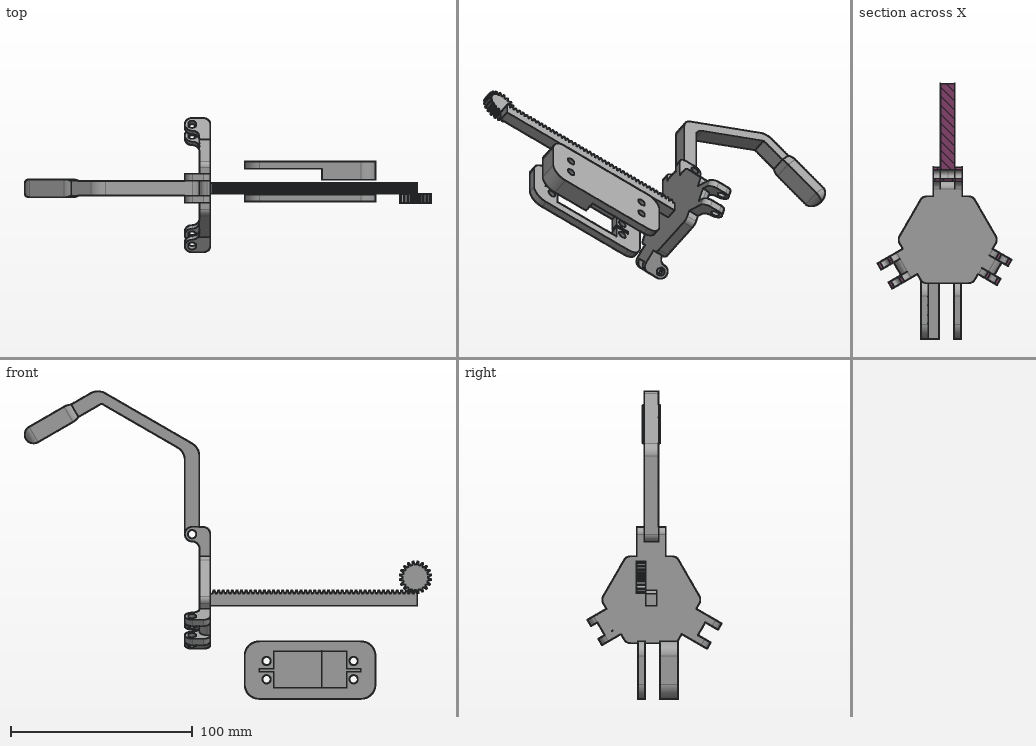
import cadquery as cq
import math


hub_apothem = 24.0
hub_thickness = 6.0
round_radius = 4.0
hub_front = -hub_thickness

finger_width = 8.0
lug_span = 2 * finger_width
boss_x = hub_front - round_radius
pin_diameter = 4.5
long_hinge_radius = hub_apothem + 3 * round_radius
short_hinge_radius = long_hinge_radius - round_radius
web_end = hub_apothem + 2 * round_radius
arms = [(0, long_hinge_radius), (-120, long_hinge_radius), (120, short_hinge_radius)]

bend_z = 83.7
middle_length = 64.5
middle_depth = 6.0
limb_slope = math.radians(30)
bend_radius = 8.0
limb_angle = math.radians(120)
neck_length = 17.0

pad_half_width = 5.0
pad_shoulder = 4.0
pad_dome_start = 26.2

tooth_count = 20
rack_tooth_count = 45
rack_tooth_span = 110.7
first_tooth_x = 2.0
rack_width = 6.0
rack_bottom = -3.4
gear_z = 12.3
gear_width = 5.1
gear_half_root = 0.9
gear_half_tip = 0.4
tooth_pitch = rack_tooth_span / (rack_tooth_count - 1)
gear_module = tooth_pitch / math.pi
pressure_angle = math.radians(20)
addendum = gear_module
dedendum = 1.25 * gear_module
pitch_radius = tooth_count * gear_module / 2
last_tooth_x = first_tooth_x + rack_tooth_span

plate_length = 72.0
plate_height = 31.8
plate_thickness = 4.0
plate_corner = 8.0
plate_x = 54.8
plate_z = -38.7
front_plate_y = -3.4
rear_plate_y = 10.7
screw_spacing_x = 47.9
screw_spacing_z = 10.0
screw_diameter = 4.5
window_length = 40.0
window_height = 20.1
window_z = -38.3
slot_length = 56.0
slot_height = 1.8
block_length = 29.5
block_depth = 6.0


def slab(profile, width):
    """Extrude a profile equally to both sides of its plane."""
    return profile.extrude(width / 2, both=True)



def hub_plate():
    hexagon_diameter = 2 * hub_apothem / math.cos(math.pi / 6)
    plate = cq.Workplane("YZ").polygon(6, hexagon_diameter).extrude(-hub_thickness)
    return plate.edges("|X").fillet(round_radius)


def hinge_arm(hinge_radius):
    """Two drilled lugs and the web between them, pointing along +Z."""
    r = round_radius
    diagonal = r * math.sqrt(0.5)
    tip = hinge_radius + r
    fillet_end = hinge_radius - 2 * r
    foot = hub_apothem - r
    lug_profile = (
        cq.Workplane("XZ")
        .moveTo(0, foot)
        .lineTo(0, tip - r)
        .threePointArc((diagonal - r, tip - r + diagonal), (-r, tip))
        .lineTo(boss_x, tip)
        .threePointArc((boss_x - r, hinge_radius), (boss_x, hinge_radius - r))
        .threePointArc((boss_x + diagonal, fillet_end + diagonal), (hub_front, fillet_end))
        .lineTo(hub_front, foot)
        .close()
    )
    gap = cq.Workplane("XY").box(-4 * boss_x, finger_width, 4 * tip)
    pin_hole = slab(cq.Workplane("XZ").center(boss_x, hinge_radius).circle(pin_diameter / 2), 2 * lug_span)
    lugs = slab(lug_profile, lug_span).cut(gap).cut(pin_hole)

    web_profile = (
        cq.Workplane("XZ")
        .moveTo(0, foot)
        .lineTo(0, web_end)
        .lineTo(hub_front + r, web_end)
        .threePointArc((hub_front + r - diagonal, web_end - r + diagonal), (hub_front, web_end - r))
        .lineTo(hub_front, foot)
        .close()
    )
    web = slab(web_profile, finger_width)
    return lugs.union(web)


def rack():
    pitch_line = gear_z - pitch_radius
    root_z = pitch_line - dedendum
    tip_z = pitch_line + addendum
    half_root = tooth_pitch / 4 + dedendum * math.tan(pressure_angle)
    half_tip = tooth_pitch / 4 - addendum * math.tan(pressure_angle)
    profile = cq.Workplane("XZ").moveTo(0, rack_bottom).lineTo(0, root_z)
    for number in range(rack_tooth_count):
        x = first_tooth_x + number * tooth_pitch
        profile = (
            profile.lineTo(x - half_root, root_z)
            .lineTo(x - half_tip, tip_z)
            .lineTo(x + half_tip, tip_z)
            .lineTo(x + half_root, root_z)
        )
    profile = profile.lineTo(last_tooth_x + half_root, rack_bottom).close()
    return slab(profile, rack_width)


def build_hub():
    body = hub_plate()
    for angle, hinge_radius in arms:
        body = body.union(hinge_arm(hinge_radius).rotate((0, 0, 0), (1, 0, 0), angle))
    return body.union(rack())



def inner_corner(corner, first_direction, first_depth, second_direction, second_depth):
    """Inner corner where two limbs of the given depths meet."""
    along_first = second_depth / math.sin(limb_angle)
    along_second = first_depth / math.sin(limb_angle)
    return tuple(
        c + along_first * a + along_second * b
        for c, a, b in zip(corner, first_direction, second_direction)
    )


def pad_prism(origin, axis, normal):
    """Pad outline with a round tip and a curved shoulder, extruded along the normal."""
    shoulder_drop = pad_half_width - finger_width / 2
    shoulder_radius = (pad_shoulder**2 + shoulder_drop**2) / (2 * shoulder_drop)
    middle_drop = shoulder_radius - math.sqrt(shoulder_radius**2 - (pad_shoulder / 2) ** 2)
    middle = pad_half_width - middle_drop
    profile = (
        cq.Workplane(cq.Plane(origin=origin, xDir=axis, normal=normal))
        .moveTo(0, finger_width / 2)
        .threePointArc((pad_shoulder / 2, middle), (pad_shoulder, pad_half_width))
        .lineTo(pad_dome_start, pad_half_width)
        .threePointArc((pad_dome_start + pad_half_width, 0), (pad_dome_start, -pad_half_width))
        .lineTo(pad_shoulder, -pad_half_width)
        .threePointArc((pad_shoulder / 2, -middle), (0, -finger_width / 2))
        .close()
    )
    return slab(profile, 2 * pad_half_width)


def build_finger():
    down = (0, -1)
    outward = (-math.cos(limb_slope), math.sin(limb_slope))
    inward = (math.cos(limb_slope), -math.sin(limb_slope))
    tipward = (-math.cos(limb_slope), -math.sin(limb_slope))
    across_neck = (math.sin(limb_slope), -math.cos(limb_slope))

    bend = (hub_front, bend_z)
    knee = (bend[0] + middle_length * outward[0], bend[1] + middle_length * outward[1])
    inner_bend = inner_corner(bend, down, finger_width, outward, middle_depth)
    inner_knee = inner_corner(knee, inward, middle_depth, tipward, finger_width)
    neck_outer = (knee[0] + neck_length * tipward[0], knee[1] + neck_length * tipward[1])
    neck_inner = (
        neck_outer[0] + finger_width * across_neck[0],
        neck_outer[1] + finger_width * across_neck[1],
    )

    limb_profile = (
        cq.Workplane("XZ")
        .moveTo(hub_front, long_hinge_radius)
        .lineTo(*bend)
        .lineTo(*knee)
        .lineTo(*neck_outer)
        .lineTo(*neck_inner)
        .lineTo(*inner_knee)
        .lineTo(*inner_bend)
        .lineTo(hub_front - finger_width, long_hinge_radius)
        .threePointArc((boss_x, long_hinge_radius - finger_width / 2), (hub_front, long_hinge_radius))
        .close()
    )
    limbs = slab(limb_profile, finger_width)
    for x, z in (bend, knee, inner_bend):
        limbs = limbs.edges(cq.selectors.NearestToPointSelector((x, 0, z))).fillet(bend_radius)

    pin_hole = slab(
        cq.Workplane("XZ").center(boss_x, long_hinge_radius).circle(pin_diameter / 2), 2 * finger_width
    )
    pad_origin = ((neck_outer[0] + neck_inner[0]) / 2, 0, (neck_outer[1] + neck_inner[1]) / 2)
    pad_axis = (tipward[0], 0, tipward[1])
    side_prism = pad_prism(pad_origin, pad_axis, (0, 1, 0))
    top_prism = pad_prism(pad_origin, pad_axis, (across_neck[0], 0, across_neck[1]))
    return limbs.cut(pin_hole).union(side_prism.intersect(top_prism))



def build_gear():
    root_radius = pitch_radius - dedendum
    tip_radius = pitch_radius + addendum
    half_root_angle = gear_half_root * gear_module / root_radius
    half_tip_angle = gear_half_tip * gear_module / tip_radius
    points = []
    for number in range(tooth_count):
        centre_angle = (number + 0.5) * 2 * math.pi / tooth_count
        for radius, offset in (
            (root_radius, -half_root_angle),
            (tip_radius, -half_tip_angle),
            (tip_radius, half_tip_angle),
            (root_radius, half_root_angle),
        ):
            angle = centre_angle + offset
            points.append((radius * math.cos(angle), radius * math.sin(angle)))
    return (
        cq.Workplane("XZ", origin=(last_tooth_x, -rack_width / 2, gear_z))
        .polyline(points)
        .close()
        .extrude(gear_width)
    )



def servo_plate(y_start):
    """Rounded plate with four screw holes, from y_start toward +Y."""
    plate = (
        cq.Workplane("XZ", origin=(plate_x, y_start, plate_z))
        .rect(plate_length, plate_height)
        .extrude(-plate_thickness)
    )
    return plate.edges("|Y").fillet(plate_corner)


def screw_holes():
    profile = (
        cq.Workplane("XZ", origin=(plate_x, 0, plate_z))
        .rect(screw_spacing_x, screw_spacing_z, forConstruction=True)
        .vertices()
        .circle(screw_diameter / 2)
    )
    return slab(profile, 2 * plate_length)


def build_front_plate():
    window = cq.Workplane("XY").box(window_length, plate_length, window_height)
    window = window.translate((plate_x, 0, window_z))
    slot = cq.Workplane("XY").box(slot_length, plate_length, slot_height)
    slot = slot.translate((plate_x, 0, plate_z))
    plate = servo_plate(front_plate_y - plate_thickness)
    return plate.cut(window).cut(slot).cut(screw_holes())


def build_rear_plate():
    block_x = plate_x + (plate_length - block_length) / 2
    block = (
        cq.Workplane("XZ", origin=(block_x, rear_plate_y, plate_z))
        .rect(block_length, plate_height)
        .extrude(block_depth)
    )
    block = block.edges("|Y and >X").fillet(plate_corner)
    return servo_plate(rear_plate_y).union(block).cut(screw_holes())


hub = build_hub()
finger = build_finger()
gear = build_gear()
front_plate = build_front_plate()
rear_plate = build_rear_plate()

result = cq.Compound.makeCompound(
    [hub.val(), finger.val(), gear.val(), front_plate.val(), rear_plate.val()]
)